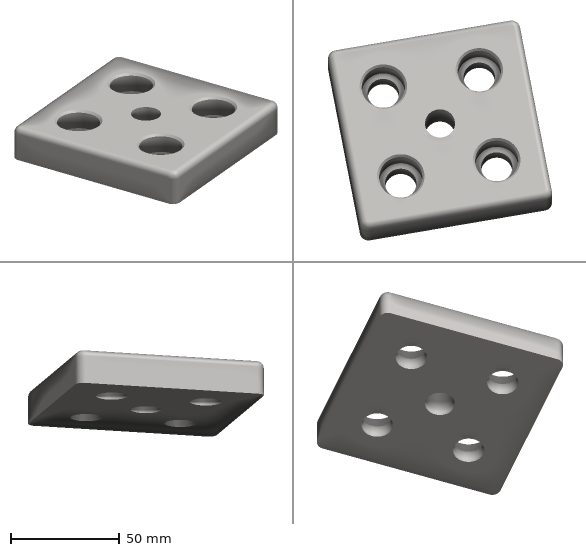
import cadquery as cq

side = 90.0
thickness = 16.0
corner_radius = 4.0
top_edge_radius = 3.0

center_hole_diameter = 13.9
bolt_spacing = side / 2
bolt_hole_diameter = 14.5
counterbore_diameter = 20.0
counterbore_depth = 9.0
rim_chamfer = 1.0


def make_plate():
    """Square plate with its bottom face on Z = 0, rounded corners and a rounded top edge."""
    plate = cq.Workplane("XY").rect(side, side).extrude(thickness)
    plate = plate.edges("|Z").fillet(corner_radius)
    return plate.faces(">Z").edges().fillet(top_edge_radius)


def make_bolt_hole_cutter():
    """Through hole, counterbore and chamfered rim as one revolved solid about Z."""
    bolt_radius = bolt_hole_diameter / 2
    counterbore_radius = counterbore_diameter / 2
    floor_height = thickness - counterbore_depth
    profile = [
        (0, 0),
        (bolt_radius, 0),
        (bolt_radius, floor_height),
        (counterbore_radius, floor_height),
        (counterbore_radius, thickness - rim_chamfer),
        (counterbore_radius + rim_chamfer, thickness),
        (0, thickness),
    ]
    return cq.Workplane("XZ").polyline(profile).close().revolve(360, (0, 0, 0), (0, 1, 0))


result = make_plate()

result = result.cut(cq.Workplane("XY").circle(center_hole_diameter / 2).extrude(thickness))

bolt_hole_cutter = make_bolt_hole_cutter()
for x in (-bolt_spacing / 2, bolt_spacing / 2):
    for y in (-bolt_spacing / 2, bolt_spacing / 2):
        result = result.cut(bolt_hole_cutter.translate((x, y, 0)))